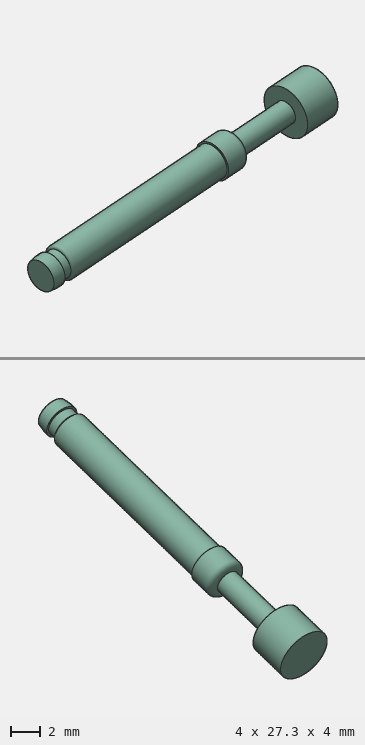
import cadquery as cq

length = 27.3
tip_y = -length / 2
head_y = length / 2

head_diameter = 4.0
stem_diameter = 1.77
collar_diameter = 3.0
body_diameter = 2.7
neck_diameter = 2.27
tip_diameter = 2.6
tip_face_diameter = 2.43

head_length = 3.0
stem_length = 5.27
collar_length = 2.02
tip_length = 1.0
tip_taper_length = 0.6
neck_length = 0.98

collar_round = 0.4
body_end_round = (body_diameter - neck_diameter) / 2

neck_start_y = tip_y + tip_length
body_start_y = neck_start_y + neck_length - body_end_round
head_start_y = head_y - head_length
collar_end_y = head_start_y - stem_length
collar_start_y = collar_end_y - collar_length


def cylinder(diameter, start_y, end_y):
    """Round bar along Y between two stations."""
    return cq.Workplane("XZ", origin=(0, start_y, 0)).circle(diameter / 2).extrude(start_y - end_y)


tip_radius = tip_diameter / 2
tip = (
    cq.Workplane("XY")
    .moveTo(0, tip_y)
    .lineTo(tip_face_diameter / 2, tip_y)
    .lineTo(tip_radius, tip_y + tip_taper_length)
    .lineTo(tip_radius, neck_start_y)
    .lineTo(0, neck_start_y)
    .close()
    .revolve(360, (0, 0, 0), (0, 1, 0))
)

neck = cylinder(neck_diameter, neck_start_y, body_start_y)
body = cylinder(body_diameter, body_start_y, collar_start_y).edges("<Y").fillet(body_end_round)
collar = cylinder(collar_diameter, collar_start_y, collar_end_y).edges(">Y").fillet(collar_round)
stem = cylinder(stem_diameter, collar_end_y, head_start_y)
head = cylinder(head_diameter, head_start_y, head_y)

result = tip.union(neck).union(body).union(collar).union(stem).union(head)